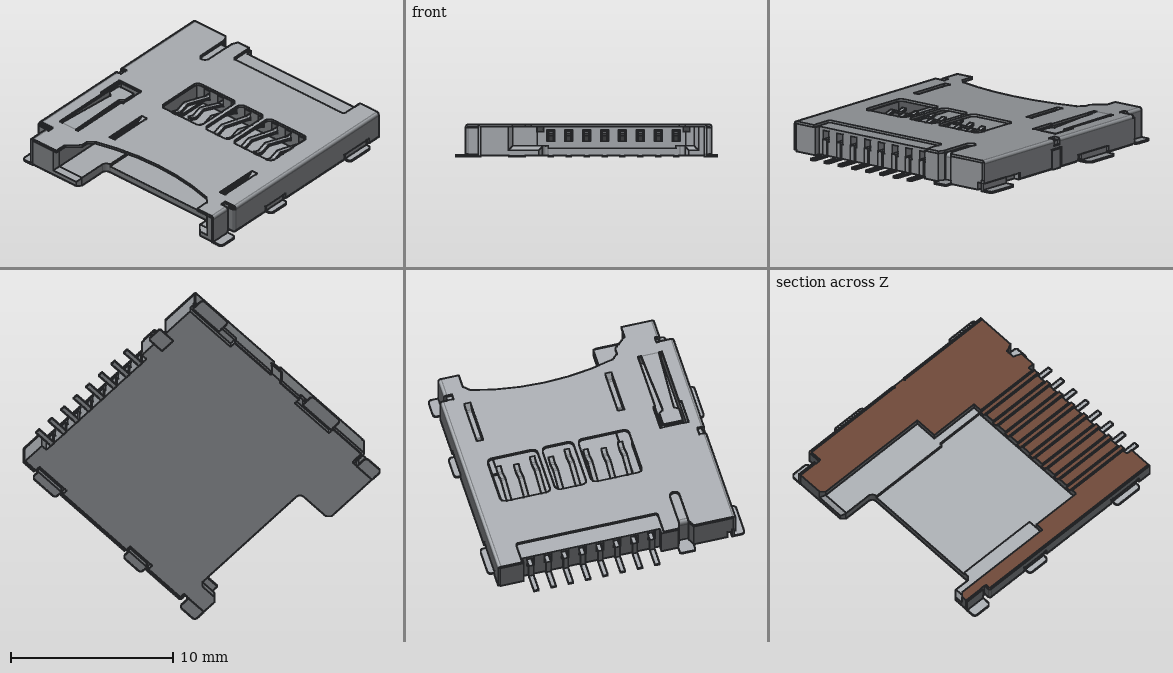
import cadquery as cq
import math


shell_width = 15.17
shell_back = 16.13
total_depth = 17.05
total_height = 1.98
sheet = 0.15
bend_radius = 0.19
foot_thickness = 0.1
base_z = 0.05
wall_base_z = 0.15
roof_z = total_height - sheet
beyond = 0.85

left_wall_front = 1.53
right_wall_front = 2.55
return_radius = 0.14
left_leg_x = 0.78
right_leg_x = 14.85
left_leg_span = (0.0, 1.31)
right_leg_span = (0.99, 2.32)
left_leg_foot_x = 0.12
left_foot_x = -0.6
right_foot_x = 15.5
left_foot_spans = ((13.9, shell_back), (4.21, 6.67))
left_relief_spans = ((12.63, shell_back), (4.15, 7.08))
right_foot_spans = ((13.05, 15.04), (5.66, 7.21))
right_relief_spans = ((12.87, 15.21), (5.49, 7.38))
relief_height = 0.51
relief_depth = 0.51
foot_set_in = 0.09
foot_corner = 0.22
leg_lap = 0.17

left_gap = (1.1, 1.31, 1.72)
right_gap = (14.32, 2.32, 2.71)
gap_floor_z = 1.77

roof_step_x = 2.88
roof_step_y = 0.77
mouth_left = 3.68
mouth_right = 13.52
mouth_left_y = 1.5
mouth_end_y = 2.3
mouth_middle_y = 2.93
mouth_corner = 0.38

window_spans = ((4.59, 7.83), (8.13, 10.13), (10.43, 13.62))
window_front = 7.8
window_back = 11.25
window_corner = 0.34
back_notch_front = 14.61
back_notch_corner = 0.17

slot_left = 2.88
slot_right = 3.5
slot_front = 13.28
funnel_front = 15.74
terminal_left = 2.68
terminal_right = 3.67
terminal_end = 16.6
terminal_top_end = 15.62
terminal_bend = 0.25
terminal_root = 0.17
terminal_chamfer = 0.09

tongue_base_y = 2.5
tongue_tip_y = 7.91
tongue_centre_x = 1.74
tongue_base_half = 0.56
tongue_neck_half = 0.35
tongue_head_half = 0.63
tongue_neck_y = 6.65
tongue_neck_length = 0.17
tongue_head_y = 7.02
tongue_drop = 0.15
tongue_slot_half = 0.77
tongue_slot_back = 8.25
tongue_wide_half = 0.9
tongue_wide_front = 6.53
tongue_head_corner = 0.1
tongue_pocket_z = 1.02
tongue_pocket_front = 2.39

rib_lefts = (4.4, 13.4)
rib_width = 0.41
rib_front = 3.24
rib_back = 6.27
rib_ramp = 0.41
rib_drop = 0.29
rib_bend = 0.2

latch_front = 8.66
latch_back = 9.6
latch_top = 1.36
latch_gap = 0.09
latch_recess = 0.03
peep_front = 8.83
peep_back = 9.36
peep_depth = 0.46
peep_bottom = 1.55

housing_left = left_leg_x + sheet
housing_right = right_leg_x - sheet
front_block_right = 4.74
floor_front = 2.49
floor_corner = 0.32
nose_chamfer = 0.24
housing_back = 15.74
post_left = front_block_right
post_right = mouth_right
card_left = 2.9
card_right = 14.08
card_stop = 8.03
card_floor_z = 0.65
lead_in = 0.27
inner_left = 4.42
inner_right = 13.55
inner_back = 11.39
channel_left = 5.1
channel_right = 12.95
channel_z = 0.5
pit_left = 4.93

first_contact_x = 5.25
last_contact_x = 12.98
crest_ys = (9.43, 9.63, 9.43, 9.1, 9.43, 9.1, 9.43, 9.3)
contact_pitch = (last_contact_x - first_contact_x) / (len(crest_ys) - 1)
contact_width = 0.3
contact_thickness = 0.14
contact_slot_width = 0.46
contact_slot_bottom = 0.95
contact_slot_top = 1.62
crest_z = 1.67
dip_length = 0.66
dip_z = 1.42
contact_bend = 0.2
tip_length = 1.09
tip_z = 1.57


def block(x0, x1, y0, y1, z0, z1):
    """Box between two opposite corners."""
    return cq.Workplane("XY").box(x1 - x0, y1 - y0, z1 - z0, centered=False).translate((x0, y0, z0))


def strip(left, width, y_z_points):
    """Prism of constant section along X."""
    return cq.Workplane("YZ").polyline(y_z_points).close().extrude(width).translate((left, 0, 0))


def foot(wall_x, tip_x, span, top_z):
    """Upright leg at wall_x with a solder foot that reaches out to tip_x."""
    outward = math.copysign(1, tip_x - wall_x)
    inner_x = wall_x - outward * sheet
    leg = block(min(wall_x, inner_x), max(wall_x, inner_x), *span, 0, top_z)
    pad = block(min(inner_x, tip_x), max(inner_x, tip_x), *span, 0, foot_thickness)
    pad = pad.edges("|Z").edges(">X" if outward > 0 else "<X").fillet(foot_corner)
    return leg.union(pad)


def folded_wall(outer_x, inward, span):
    """Side wall with a rounded bend into the edge of the roof."""
    reach = bend_radius * inward
    chord = bend_radius * (1 - math.sqrt(0.5))
    profile = (
        cq.Workplane("XZ")
        .moveTo(outer_x, wall_base_z)
        .lineTo(outer_x, total_height - bend_radius)
        .threePointArc((outer_x + chord * inward, total_height - chord), (outer_x + reach, total_height))
        .lineTo(outer_x + reach, roof_z)
        .lineTo(outer_x + sheet * inward, roof_z)
        .lineTo(outer_x + sheet * inward, wall_base_z)
        .close()
    )
    return profile.extrude(-(span[1] - span[0])).translate((0, span[0], 0))


def funnel_cutter(z0, z1):
    """Flared mouth of the terminal slot at the back edge."""
    points = [
        (slot_left, terminal_top_end),
        (slot_right, terminal_top_end),
        (slot_right, funnel_front),
        (terminal_right, shell_back),
        (terminal_right, shell_back + beyond),
        (terminal_left, shell_back + beyond),
        (terminal_left, shell_back),
        (slot_left, funnel_front),
    ]
    return cq.Workplane("XY").workplane(offset=z0).polyline(points).close().extrude(z1 - z0)


def shell_roof():
    """Flat roof with its arched front edge, up to the start of the side bends."""
    left = bend_radius
    right = shell_width - bend_radius
    leg_left = left_leg_x + bend_radius
    leg_right = right_leg_x - bend_radius
    mouth_middle = ((mouth_left + mouth_right) / 2, mouth_middle_y)
    return (
        cq.Workplane("XY")
        .workplane(offset=roof_z)
        .moveTo(leg_left, left_leg_span[0])
        .lineTo(roof_step_x, left_leg_span[0])
        .lineTo(roof_step_x, roof_step_y)
        .lineTo(mouth_left, mouth_left_y)
        .lineTo(mouth_left, mouth_end_y - mouth_corner)
        .lineTo(mouth_left + mouth_corner, mouth_end_y)
        .threePointArc(mouth_middle, (mouth_right - mouth_corner, mouth_end_y))
        .lineTo(mouth_right, mouth_end_y - mouth_corner)
        .lineTo(mouth_right, right_leg_span[0])
        .lineTo(leg_right, right_leg_span[0])
        .lineTo(leg_right, right_wall_front)
        .lineTo(right, right_wall_front)
        .lineTo(right, shell_back)
        .lineTo(left, shell_back)
        .lineTo(left, left_wall_front)
        .lineTo(leg_left, left_wall_front)
        .close()
        .extrude(sheet)
    )


def corner_gaps():
    """Cutters that part the roof from the front returns beside the legs."""
    left = block(-beyond, left_gap[0], *left_gap[1:], gap_floor_z, total_height)
    right = block(right_gap[0], shell_width + beyond, *right_gap[1:], gap_floor_z, total_height)
    return left.union(right)


def shell_walls():
    """Side walls with their front returns and the two front legs."""
    left = folded_wall(0, 1, (left_wall_front, shell_back))
    left_return_back = left_wall_front + sheet
    left = left.union(
        block(0, housing_left, left_wall_front, left_return_back, wall_base_z, gap_floor_z)
    )
    left = left.cut(corner_gaps()).edges("|Z").edges("<X").edges("<Y").fillet(return_radius)
    right = folded_wall(shell_width, -1, (right_wall_front, shell_back))
    right_return_back = right_wall_front + sheet
    right = right.union(
        block(housing_right, shell_width, right_wall_front, right_return_back, wall_base_z, gap_floor_z)
    )
    right = right.cut(corner_gaps()).edges("|Z").edges(">X").edges("<Y").fillet(return_radius)
    left_leg = folded_wall(left_leg_x, 1, left_leg_span)
    left_leg = left_leg.union(foot(left_leg_x, left_leg_foot_x, left_leg_span, relief_height))
    right_leg = folded_wall(right_leg_x, -1, right_leg_span)
    right_leg = right_leg.union(foot(right_leg_x, right_foot_x, right_leg_span, relief_height))
    return left.union(right).union(left_leg).union(right_leg)


def side_feet():
    """Solder feet along both side walls."""
    feet = cq.Workplane("XY")
    for span in left_foot_spans:
        feet = feet.union(foot(foot_set_in, left_foot_x, span, relief_height + leg_lap))
    for span in right_foot_spans:
        feet = feet.union(foot(shell_width - foot_set_in, right_foot_x, span, relief_height + leg_lap))
    return feet


def wall_cutters():
    """Foot reliefs, latch opening, peep hole and the corner gaps beside the front legs."""
    cutters = block(-beyond, sheet, latch_front, latch_back, 0, latch_top)
    cutters = cutters.union(block(-beyond, peep_depth, peep_front, peep_back, peep_bottom, total_height))
    for span in left_relief_spans:
        cutters = cutters.union(block(-beyond, sheet, *span, 0, relief_height))
    for span in right_relief_spans:
        cutters = cutters.union(
            block(shell_width - sheet, shell_width + beyond, *span, 0, relief_height)
        )
    return cutters.union(corner_gaps())


def roof_cutters():
    """Contact windows, back notch, terminal slot, tongue opening and rib openings."""
    cutters = block(
        window_spans[0][0], window_spans[-1][1], back_notch_front, shell_back + beyond, roof_z, total_height
    ).edges("|Z and <Y").fillet(back_notch_corner)
    for left, right in window_spans:
        window = block(left, right, window_front, window_back, roof_z, total_height)
        cutters = cutters.union(window.edges("|Z").fillet(window_corner))
    slot_radius = (slot_right - slot_left) / 2
    slot_end_y = slot_front + slot_radius
    slot_end = cq.Workplane("XY").circle(slot_radius).extrude(sheet)
    cutters = cutters.union(slot_end.translate((slot_left + slot_radius, slot_end_y, roof_z)))
    cutters = cutters.union(block(slot_left, slot_right, slot_end_y, shell_back, roof_z, total_height))
    cutters = cutters.union(funnel_cutter(roof_z, total_height))
    for half, front in ((tongue_slot_half, tongue_base_y), (tongue_wide_half, tongue_wide_front)):
        left = tongue_centre_x - half
        right = tongue_centre_x + half
        cutters = cutters.union(block(left, right, front, tongue_slot_back, roof_z, total_height))
    for left in rib_lefts:
        cutters = cutters.union(
            block(left, left + rib_width, rib_front, rib_back, roof_z, total_height)
        )
    return cutters


def tongue():
    """Key-shaped spring tongue that slopes down from its root."""
    right_side = [
        (tongue_base_half, tongue_base_y),
        (tongue_neck_half, tongue_neck_y),
        (tongue_neck_half, tongue_neck_y + tongue_neck_length),
        (tongue_head_half, tongue_head_y),
        (tongue_head_half, tongue_tip_y),
    ]
    outline = [(tongue_centre_x + x, y) for x, y in right_side]
    outline += [(tongue_centre_x - x, y) for x, y in reversed(right_side)]
    slope = math.degrees(math.atan(tongue_drop / (tongue_tip_y - tongue_base_y)))
    flat = cq.Workplane("XY").workplane(offset=roof_z).polyline(outline).close().extrude(sheet)
    flat = flat.edges("|Z and >Y").fillet(tongue_head_corner)
    root = (0, tongue_base_y, total_height)
    return flat.rotate(root, (1, tongue_base_y, total_height), -slope)


def card_rib(left):
    """Strip of the roof pressed down between two ramps."""
    top = [
        (rib_front, total_height),
        (rib_front + rib_ramp, total_height - rib_drop),
        (rib_back - rib_ramp, total_height - rib_drop),
        (rib_back, total_height),
    ]
    underside = [(y, z - sheet) for y, z in reversed(top)]
    rib = strip(left, rib_width, top + underside)
    bends = cq.selectors.BoxSelector(
        (left, rib_front + rib_ramp / 2, 0), (left + rib_width, rib_back - rib_ramp / 2, total_height)
    )
    return rib.edges("|X").edges(bends).fillet(rib_bend)


def make_shell():
    """Complete sheet shell."""
    body = shell_roof().union(shell_walls()).cut(wall_cutters()).cut(roof_cutters())
    body = body.union(side_feet()).union(tongue())
    for left in rib_lefts:
        body = body.union(card_rib(left))
    return body


def housing_block():
    """Solid block of the housing in plan, with its stepped front and notched back."""
    left = sheet
    right = shell_width - sheet
    arc_inset = floor_corner * (1 - math.sqrt(0.5))
    arc_y = floor_front - arc_inset
    arc_front = floor_front - floor_corner
    block_right = front_block_right
    return (
        cq.Workplane("XY")
        .workplane(offset=base_z)
        .moveTo(housing_left, left_leg_span[0])
        .lineTo(block_right - nose_chamfer, left_leg_span[0])
        .lineTo(block_right, left_leg_span[0] + nose_chamfer)
        .lineTo(block_right, arc_front)
        .threePointArc((block_right + arc_inset, arc_y), (block_right + floor_corner, floor_front))
        .lineTo(mouth_right - floor_corner, floor_front)
        .threePointArc((mouth_right - arc_inset, arc_y), (mouth_right, arc_front))
        .lineTo(mouth_right, right_leg_span[0] + nose_chamfer)
        .lineTo(mouth_right + nose_chamfer, right_leg_span[0])
        .lineTo(housing_right, right_leg_span[0])
        .lineTo(housing_right, right_wall_front + sheet)
        .lineTo(right, right_wall_front + sheet)
        .lineTo(right, shell_back)
        .lineTo(post_right, shell_back)
        .lineTo(post_right, housing_back)
        .lineTo(post_left, housing_back)
        .lineTo(post_left, shell_back)
        .lineTo(left, shell_back)
        .lineTo(left, left_wall_front + sheet)
        .lineTo(housing_left, left_wall_front + sheet)
        .close()
        .extrude(roof_z - base_z)
    )


def card_lead_in(front_y, side_x, outward, open_x):
    """Flared cutter that widens the card mouth at one side and along the floor."""
    flare_x = side_x + outward * lead_in
    flare_z = card_floor_z - lead_in
    return (
        cq.Workplane("XZ", origin=(0, front_y, 0))
        .polyline([(flare_x, flare_z), (open_x, flare_z), (open_x, roof_z), (flare_x, roof_z)])
        .close()
        .workplane(offset=-lead_in)
        .polyline([(side_x, card_floor_z), (open_x, card_floor_z), (open_x, roof_z), (side_x, roof_z)])
        .close()
        .loft(ruled=True)
    )


def card_space():
    """Card cavity, its narrow inner end, the floor channel and the pit below the contacts."""
    space = block(card_left, card_right, -beyond, card_stop, card_floor_z, roof_z)
    space = space.union(block(inner_left, inner_right, 0, inner_back, card_floor_z, roof_z))
    space = space.union(block(channel_left, channel_right, 0, card_stop, channel_z, roof_z))
    space = space.union(block(pit_left, inner_right, card_stop, inner_back, channel_z, roof_z))
    space = space.union(card_lead_in(left_leg_span[0], card_left, -1, front_block_right))
    return space.union(card_lead_in(right_leg_span[0], card_right, 1, mouth_right))


def foot_pockets():
    """Reliefs along the housing sides, with recesses for the set-in legs of the side feet."""
    leg_depth = foot_set_in + sheet
    leg_top = relief_height + leg_lap
    pockets = cq.Workplane("XY")
    for span in left_relief_spans:
        pockets = pockets.union(block(0, relief_depth, *span, 0, relief_height))
    for span in right_relief_spans:
        pockets = pockets.union(block(shell_width - relief_depth, shell_width, *span, 0, relief_height))
    for span in left_foot_spans:
        pockets = pockets.union(block(0, leg_depth, *span, 0, leg_top))
    for span in right_foot_spans:
        pockets = pockets.union(block(shell_width - leg_depth, shell_width, *span, 0, leg_top))
    return pockets


def contact(x, crest_y):
    """Sprung contact: tip, dip, crest, slope, straight run, leg and solder tail."""
    seat_z = contact_slot_bottom + contact_thickness
    top = [
        (crest_y - tip_length, tip_z),
        (crest_y - dip_length, dip_z),
        (crest_y, crest_z),
        (inner_back, seat_z),
        (housing_back + contact_thickness, seat_z),
        (housing_back + contact_thickness, foot_thickness),
        (total_depth, foot_thickness),
    ]
    underside = [
        (total_depth, 0),
        (housing_back, 0),
        (housing_back, contact_slot_bottom),
        (inner_back, contact_slot_bottom),
        (crest_y, crest_z - contact_thickness),
        (crest_y - dip_length, dip_z - contact_thickness),
        (crest_y - tip_length, tip_z - contact_thickness),
    ]
    left = x - contact_width / 2
    body = strip(left, contact_width, top + underside)
    bends_front = crest_y - dip_length - contact_bend
    bends_back = crest_y + contact_bend
    bends = cq.selectors.BoxSelector((left, bends_front, 0), (left + contact_width, bends_back, roof_z))
    return body.edges("|X").edges(bends).fillet(contact_bend)


def detect_terminal():
    """Solder tail of the detect terminal, standing out at the back."""
    root_y = terminal_top_end - terminal_root
    tail = block(terminal_left, terminal_right, root_y, terminal_end, 0, foot_thickness)
    return tail.edges("|Z and >Y").chamfer(terminal_chamfer)


def latch():
    """Boss that fills the latch opening in the left wall."""
    front = latch_front + latch_gap
    back = latch_back - latch_gap
    return block(latch_recess, sheet, front, back, base_z, latch_top - latch_gap)


def make_housing():
    """Complete housing with its terminal and contacts."""
    body = housing_block().cut(card_space()).cut(foot_pockets())
    pocket_left = tongue_centre_x - tongue_slot_half
    pocket_right = tongue_centre_x + tongue_slot_half
    tongue_pocket = block(
        pocket_left, pocket_right, tongue_pocket_front, tongue_slot_back, tongue_pocket_z, roof_z
    )
    body = body.cut(tongue_pocket)
    body = body.cut(funnel_cutter(0, roof_z))
    bend_middle = ((slot_left + slot_right) / 2, terminal_top_end, roof_z)
    body = body.edges(cq.selectors.NearestToPointSelector(bend_middle)).fillet(terminal_bend)
    body = body.union(detect_terminal()).union(latch())
    half_slot = contact_slot_width / 2
    for index, crest_y in enumerate(crest_ys):
        x = first_contact_x + index * contact_pitch
        left = x - half_slot
        right = x + half_slot
        body = body.cut(block(left, right, inner_back, housing_back, contact_slot_bottom, contact_slot_top))
        body = body.union(contact(x, crest_y))
    return body


shell = make_shell()
housing = make_housing()
result = cq.Compound.makeCompound([*shell.solids().vals(), *housing.solids().vals()])